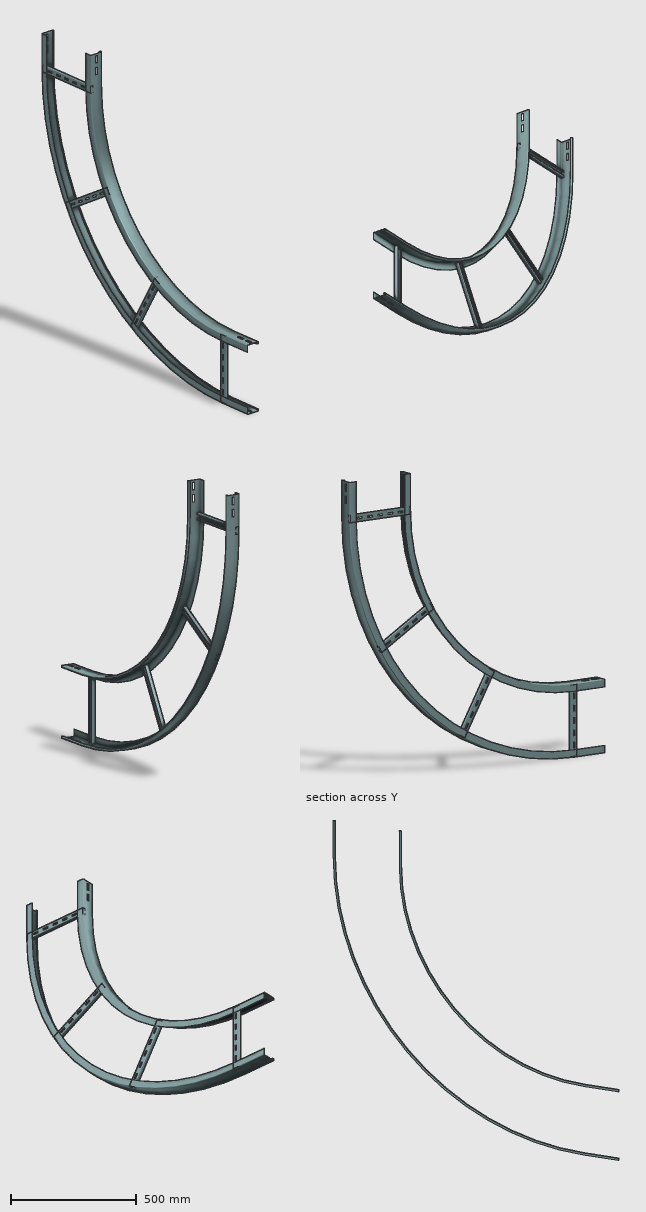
import cadquery as cq
import math


sheet = 1.5
rail_height = 60.0
outer_radius = 1100.0
tray_width = 300.0
inner_radius = outer_radius - tray_width
straight_length = 150.0
front_flange = 31.0
back_flange = 10.0
back_lip = 9.0
rail_bend = 4.2

web_slot_length = 30.0
web_slot_width = 9.0
web_slot_pitch = 50.0
web_slot_end_distance = 25.0
web_slot_count = 2

rung_width = 31.0
rung_depth = 15.0
rung_lip = 9.0
rung_bend = 2.0
rung_end_clearance = 0.2
rung_end_gap = rail_bend + rung_end_clearance
rung_angles = [0, 30, 60, 90]
rung_slot_length = 22.0
rung_slot_width = 6.0
rung_slot_pitch = 50.0
rung_slot_count = 5


def moved(point, direction, distance):
    return (point[0] + direction[0] * distance, point[1] + direction[1] * distance)


def unit_direction(start, end):
    length = math.dist(start, end)
    return ((end[0] - start[0]) / length, (end[1] - start[1]) / length)


def folded_section(workplane, path, bend):
    """Closed section of a sheet folded the same way at every right-angled corner.

    path runs along the outer face through its sharp corners; bend is the outer bend radius.
    """
    directions = [
        unit_direction(start, end) for start, end in zip(path, path[1:])
    ]
    outer_bends = []
    inner_bends = []
    for corner, arriving, leaving in zip(path[1:], directions, directions[1:]):
        centre = moved(moved(corner, arriving, -bend), leaving, bend)
        outward = unit_direction(centre, corner)
        for bends, radius in ((outer_bends, bend), (inner_bends, bend - sheet)):
            bends.append(
                (
                    moved(centre, leaving, -radius),
                    moved(centre, outward, radius),
                    moved(centre, arriving, radius),
                )
            )

    section = workplane.moveTo(*path[0])
    for start, middle, end in outer_bends:
        section = section.lineTo(*start).threePointArc(middle, end)
    section = section.lineTo(*path[-1])
    section = section.lineTo(*moved(path[-1], directions[-2], -sheet))
    for start, middle, end in reversed(inner_bends):
        section = section.lineTo(*end).threePointArc(middle, start)
    return section.lineTo(*moved(path[0], directions[1], sheet)).close()


def rail_path(web_face, side):
    """Outer corners of the rail section as (across, y); side is the way the flanges point."""
    front_tip = web_face + side * front_flange
    back_tip = web_face + side * back_flange
    return [
        (front_tip, 0),
        (web_face, 0),
        (web_face, rail_height),
        (back_tip, rail_height),
        (back_tip, rail_height - back_lip),
    ]


def web_slots(web_radius):
    """Cutters for the slots near both ends of one rail."""
    cutters = []
    for index in range(web_slot_count):
        along = straight_length - web_slot_end_distance - index * web_slot_pitch
        middle = rail_height / 2
        cutters.append(
            cq.Workplane("XY")
            .box(2 * rail_bend, web_slot_width, web_slot_length)
            .translate((-web_radius, middle, along))
        )
        cutters.append(
            cq.Workplane("XY")
            .box(web_slot_length, web_slot_width, 2 * rail_bend)
            .translate((along, middle, -web_radius))
        )
    return cutters


def make_rail(web_radius, side):
    """Side rail: a quarter bend with a straight length at each end."""
    path = rail_path(-web_radius, side)
    swapped_path = [(y, across) for across, y in path]
    upright_end = folded_section(cq.Workplane("XY"), path, rail_bend).extrude(straight_length)
    quarter_bend = folded_section(cq.Workplane("XY"), path, rail_bend).revolve(
        90, (0, 0, 0), (0, -1, 0)
    )
    level_end = folded_section(cq.Workplane("YZ"), swapped_path, rail_bend).extrude(straight_length)
    rail = upright_end.union(quarter_bend, clean=False).union(level_end, clean=False)
    for cutter in web_slots(web_radius):
        rail = rail.cut(cutter, clean=False)
    return rail


def make_rung(angle):
    """Slotted rung against the inside of the front flanges, with its lips at the back."""
    start = -outer_radius + rung_end_gap
    length = tray_width - 2 * rung_end_gap
    half_width = rung_width / 2
    half_opening = half_width - rung_lip
    path = [
        (rung_depth, half_opening),
        (rung_depth, half_width),
        (0, half_width),
        (0, -half_width),
        (rung_depth, -half_width),
        (rung_depth, -half_opening),
    ]
    channel = folded_section(
        cq.Workplane("YZ", origin=(start, sheet, 0)), path, rung_bend
    ).extrude(length)
    slots = (
        cq.Workplane("XZ", origin=(start + length / 2, 0, 0))
        .rarray(rung_slot_pitch, 12, rung_slot_count, 1)
        .rect(rung_slot_length, rung_slot_width)
        .extrude(-rung_depth)
    )
    return channel.cut(slots).rotate((0, 0, 0), (0, 1, 0), -angle)


outer_rail = make_rail(outer_radius, 1)
inner_rail = make_rail(inner_radius, -1)
rungs = [make_rung(angle) for angle in rung_angles]

result = cq.Compound.makeCompound(
    [outer_rail.val(), inner_rail.val(), *[rung.val() for rung in rungs]]
)